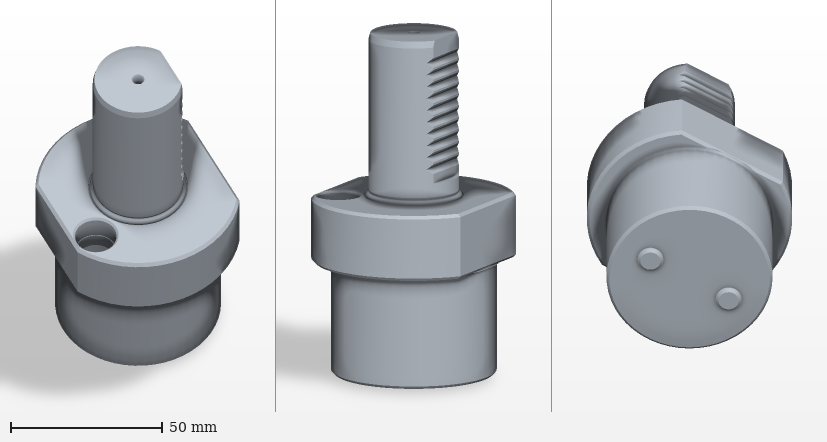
import cadquery as cq
import math


overall_height = 116.5

shank_radius = 15.0
shank_height = 55.0
shank_lead_in_height = 2.2
shank_lead_in_inset = 0.6
undercut_depth = 0.2
undercut_bottom_z = 1.4
undercut_top_z = 2.1
rack_flat_y = 12.1
rack_flat_start_z = 6.8

tooth_count = 10
tooth_depth = 1.6
first_tooth_z = 11.5
last_tooth_z = 47.5
tooth_pitch = (last_tooth_z - first_tooth_z) / (tooth_count - 1)

centre_mouth_radius = 2.1
centre_pilot_radius = 0.9
centre_pilot_depth = 3.5
centre_cone_angle = 60

seal_section_radius = 1.3
seal_groove_radius = 16.5
seal_ring_radius = 14.8
seal_groove_depth = 0.7

edge_chamfer = 1.0
flange_radius = 34.0
flange_thickness = 22.0
flange_mid_z = -flange_thickness / 2
flange_back_y = 28.0
flange_front_y = -30.0

side_hole_circle_radius = 25.0
side_hole_angle = -60
side_hole_chamfer = 0.7
side_hole_bore_radius = 6.9
side_hole_bore_depth = 8.0
side_hole_drill_radius = 6.5
side_hole_drill_depth = 12.8
drill_point_angle = 118

body_radius = 27.5
body_bottom_z = -60.0
neck_fillet = 1.0
foot_height = overall_height - shank_height + body_bottom_z
foot_radius = 4.3
foot_chamfer = 1.0
foot_spacing = 30.0


def make_flange():
    depth = flange_back_y - flange_front_y
    slab = cq.Workplane("XY").box(2 * flange_radius, depth, flange_thickness)
    slab = slab.translate((0, (flange_back_y + flange_front_y) / 2, flange_mid_z))
    disc = cq.Workplane("XY").circle(flange_radius).extrude(-flange_thickness)
    return disc.intersect(slab).faces("<Z or >Z").chamfer(edge_chamfer)


def make_body():
    """Lower cylinder, with a concave fillet against the flange that the rear flange plane trims."""
    neck_z = -flange_thickness - neck_fillet
    arc_offset = neck_fillet * (1 - math.sqrt(0.5))
    profile = (
        cq.Workplane("XZ")
        .moveTo(0, flange_mid_z)
        .lineTo(0, body_bottom_z)
        .lineTo(body_radius - edge_chamfer, body_bottom_z)
        .lineTo(body_radius, body_bottom_z + edge_chamfer)
        .lineTo(body_radius, neck_z)
        .threePointArc(
            (body_radius + arc_offset, -flange_thickness - arc_offset),
            (body_radius + neck_fillet, -flange_thickness),
        )
        .lineTo(body_radius, -flange_thickness)
        .lineTo(body_radius, flange_mid_z)
        .close()
    )
    body = profile.revolve(360, (0, 0, 0), (0, 1, 0))
    trim = cq.Workplane("XY").box(2 * flange_radius, flange_radius, flange_thickness)
    return body.cut(trim.translate((0, flange_back_y + flange_radius / 2, -flange_thickness)))


def make_foot():
    return cq.Workplane("XY").circle(foot_radius).extrude(-foot_height).faces("<Z").chamfer(foot_chamfer)


def make_shank():
    return (
        cq.Workplane("XZ")
        .moveTo(0, flange_mid_z)
        .lineTo(shank_radius - undercut_depth, flange_mid_z)
        .lineTo(shank_radius - undercut_depth, undercut_bottom_z)
        .lineTo(shank_radius, undercut_top_z)
        .lineTo(shank_radius, shank_height - shank_lead_in_height)
        .lineTo(shank_radius - shank_lead_in_inset, shank_height)
        .lineTo(0, shank_height)
        .close()
        .revolve(360, (0, 0, 0), (0, 1, 0))
    )


def make_rack_cut():
    """Flat along the +Y side of the shank together with its row of V grooves."""
    width = 2 * shank_radius
    flat_height = shank_height - rack_flat_start_z
    cutter = (
        cq.Workplane("XY", origin=(0, rack_flat_y + shank_radius / 2, rack_flat_start_z))
        .rect(width, shank_radius)
        .extrude(flat_height)
    )
    for i in range(tooth_count):
        z = first_tooth_z + i * tooth_pitch
        groove = (
            cq.Workplane("YZ")
            .polyline([
                (rack_flat_y - tooth_depth, z),
                (rack_flat_y, z + tooth_depth),
                (rack_flat_y, z - tooth_depth),
            ])
            .close()
            .extrude(shank_radius, both=True)
        )
        cutter = cutter.union(groove)
    return cutter


def make_centre_drilling():
    cone_depth = (centre_mouth_radius - centre_pilot_radius) / math.tan(math.radians(centre_cone_angle / 2))
    return (
        cq.Workplane("XZ")
        .moveTo(0, shank_height)
        .lineTo(centre_mouth_radius, shank_height)
        .lineTo(centre_pilot_radius, shank_height - cone_depth)
        .lineTo(centre_pilot_radius, shank_height - centre_pilot_depth)
        .lineTo(0, shank_height - centre_pilot_depth)
        .close()
        .revolve(360, (0, 0, 0), (0, 1, 0))
    )


def make_side_hole():
    """Chamfered bore that steps down to a slightly smaller drilling with a conical bottom."""
    point_depth = side_hole_drill_radius / math.tan(math.radians(drill_point_angle / 2))
    angle = math.radians(side_hole_angle)
    hole = (
        cq.Workplane("XZ")
        .lineTo(side_hole_bore_radius + side_hole_chamfer, 0)
        .lineTo(side_hole_bore_radius, -side_hole_chamfer)
        .lineTo(side_hole_bore_radius, -side_hole_bore_depth)
        .lineTo(side_hole_drill_radius, -side_hole_bore_depth)
        .lineTo(side_hole_drill_radius, -side_hole_drill_depth)
        .lineTo(0, -side_hole_drill_depth - point_depth)
        .close()
        .revolve(360, (0, 0, 0), (0, 1, 0))
    )
    return hole.translate((
        side_hole_circle_radius * math.cos(angle),
        side_hole_circle_radius * math.sin(angle),
        0,
    ))


def make_seal_ring():
    return (
        cq.Workplane("XZ")
        .center(seal_ring_radius, 0)
        .circle(seal_section_radius)
        .revolve(360, (-seal_ring_radius, 0, 0), (-seal_ring_radius, 1, 0))
    )


seal_groove = cq.Workplane("XY").circle(seal_groove_radius).extrude(-seal_groove_depth)

result = make_flange().union(make_body())
result = result.cut(seal_groove).cut(make_side_hole())
result = result.union(make_shank().cut(make_rack_cut()).cut(make_centre_drilling()))
result = result.union(make_seal_ring())
for side in (-1, 1):
    result = result.union(make_foot().translate((side * foot_spacing / 2, 0, body_bottom_z)))